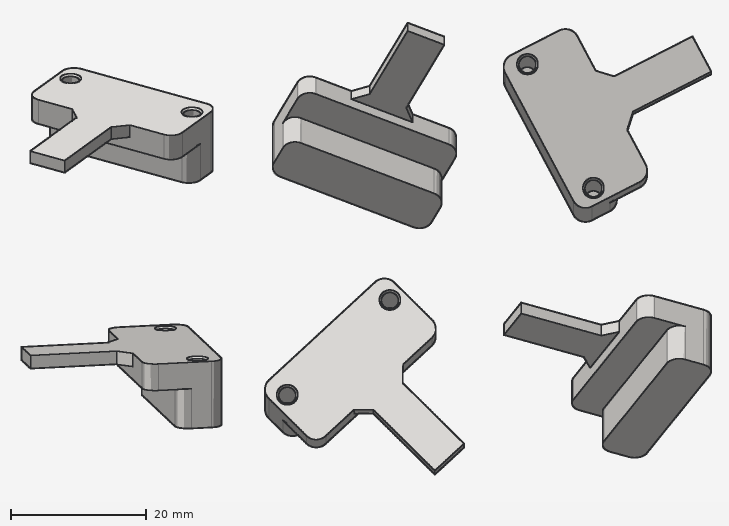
import cadquery as cq

total_width = 25.7
total_length = 27.0
total_height = 10.0

plate_depth = 12.0
plate_thickness = 4.0
block_depth = 7.0
corner_radius = 2.0

handle_width = 6.0
handle_thickness = 2.0
flare_length = 2.0
flare_width = handle_width + 2 * flare_length

hole_diameter = 2.5
hole_spacing = 21.0
hole_from_back = 3.5
hole_depth = 8.0
rim_chamfer = 0.3

top_z = total_height


def rounded_slab(depth, bottom_z, height):
    """Full-width slab running forward from the back face, with round vertical corners."""
    return (
        cq.Workplane("XY", origin=(0, -depth / 2, bottom_z))
        .rect(total_width, depth)
        .extrude(height)
        .edges("|Z")
        .fillet(corner_radius)
    )


def handle():
    """Flat bar along the top, widening at 45 degrees into the front of the plate."""
    flare_end_y = -(plate_depth + flare_length)
    return (
        cq.Workplane("XY", origin=(0, 0, top_z - handle_thickness))
        .moveTo(-flare_width / 2, -plate_depth)
        .lineTo(-handle_width / 2, flare_end_y)
        .lineTo(-handle_width / 2, -total_length)
        .lineTo(handle_width / 2, -total_length)
        .lineTo(handle_width / 2, flare_end_y)
        .lineTo(flare_width / 2, -plate_depth)
        .close()
        .extrude(handle_thickness)
    )


def chamfered_holes():
    """Cutting bodies for the two blind holes and their chamfered rims."""
    rim_diameter = hole_diameter + 2 * rim_chamfer
    return (
        cq.Workplane("XY", origin=(0, -hole_from_back, top_z))
        .pushPoints([(-hole_spacing / 2, 0), (hole_spacing / 2, 0)])
        .circle(rim_diameter / 2)
        .extrude(-rim_chamfer, taper=45)
        .pushPoints([(-hole_spacing / 2, 0), (hole_spacing / 2, 0)])
        .circle(hole_diameter / 2)
        .extrude(-hole_depth)
    )


plate = rounded_slab(plate_depth, top_z - plate_thickness, plate_thickness)
block = rounded_slab(block_depth, 0, total_height)

result = plate.union(block).union(handle()).cut(chamfered_holes())